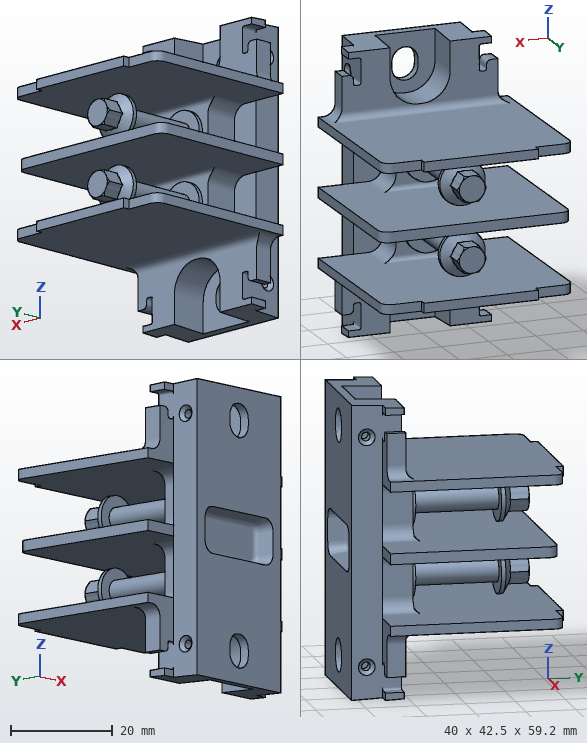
import cadquery as cq
import math

HEIGHT = 59.2
BASE_WIDTH = 25.0
SLAB_DEPTH = 6.2
END_BLOCK_BACK = 10.0
END_TAPER = 2.5

PLATE_WIDTH = 40.0
OUTER_PLATE_THICKNESS = 2.0
OUTER_PLATE_INNER_Z = 13.45
OUTER_PLATE_BACK = 41.1
PLATE_TAB_WIDTH = 24.15
PLATE_TAB_BACK = 42.5
MIDDLE_PLATE_THICKNESS = 2.2
MIDDLE_PLATE_BACK = 39.95
PLATE_CORNER_RADIUS = 2.0
OUTER_PLATE_OUTER_Z = OUTER_PLATE_INNER_Z + OUTER_PLATE_THICKNESS
MIDDLE_PLATE_Z = MIDDLE_PLATE_THICKNESS / 2

BRACKET_WIDTH = 32.9
BRACKET_TOP = 24.45
BRACKET_SIDE_FILLET = 2.5
BRACKET_BACK_FILLET = 1.6
NOTCH_OUTER_X = 14.05
NOTCH_FLOOR_Z = 22.25
NOTCH_LIP_RADIUS = 1.0
LUG_WIDTH = 30.2
LUG_UNDERSIDE_Z = 27.8
SMALL_FILLET = 0.5

MOUNT_WIDTH = 13.0
MOUNT_BACK = 13.55
MOUNT_SIDE_FILLET = 2.95
MOUNT_BACK_FILLET = 1.0

SCREW_Z = (OUTER_PLATE_INNER_Z + MIDDLE_PLATE_Z) / 2
FLANGE_RADIUS = 5.0
FLANGE_BACK = 14.45
SHAFT_RADIUS = 2.4
COLLAR_RADIUS = 4.8
COLLAR_FRONT = 31.7
COLLAR_BACK = 32.55
CONE_RADIUS = 2.8
CONE_BACK = 33.9
HEAD_BACK = 37.7
HEAD_CORE_RADIUS = 2.7
HEX_ACROSS_FLATS = 5.3
HEX_DIAMETER = HEX_ACROSS_FLATS / math.cos(math.pi / 6)
HEX_CHAMFER = HEX_DIAMETER / 2 - HEAD_CORE_RADIUS

SLOT_Z = 23.0
SLOT_WIDTH = 5.5
SLOT_LENGTH = 6.8
POCKET_WIDTH = 12.65
POCKET_FLOOR_RADIUS = 6.0
POCKET_FRONT = 2.0

SIDE_HOLE_Y = 3.0
SIDE_HOLE_DIAMETER = 1.7
SIDE_HOLE_COUNTERSINK = 3.3
SIDE_HOLE_DEPTH = 2.95

RECESS_WIDTH = 20.25
RECESS_HEIGHT = 9.4
RECESS_DEPTH = 3.95
RECESS_TAPER = 10.0
RECESS_CORNER_RADIUS = 2.35
RECESS_FLOOR_FILLET = 0.95


def box(x0, x1, y0, y1, z0, z1):
    return cq.Workplane("XY").box(x1 - x0, y1 - y0, z1 - z0, centered=False).translate((x0, y0, z0))


def extrude_along_y(outline, y0, y1):
    """Extrude an outline drawn on the XZ plane from y0 to y1."""
    return outline.extrude(y0 - y1).translate((0, y0, 0))


def with_mirror(shape, plane):
    """Join a shape to its mirror image in a plane through the origin."""
    return shape.union(shape.mirror(plane))


def flared_block(width, back, base_z, top_z, side_fillet, back_fillet):
    """Block behind the slab that rises from a plate face at base_z, flaring out on three sides."""
    half = width / 2
    side_outline = (
        cq.Workplane("XZ")
        .moveTo(0, top_z)
        .lineTo(half, top_z)
        .lineTo(half, base_z + side_fillet)
        .tangentArcPoint((side_fillet, -side_fillet))
        .lineTo(0, base_z)
        .close()
    )
    back_outline = (
        cq.Workplane("YZ")
        .moveTo(SLAB_DEPTH, top_z)
        .lineTo(back, top_z)
        .lineTo(back, base_z + back_fillet)
        .tangentArcPoint((back_fillet, -back_fillet))
        .lineTo(SLAB_DEPTH, base_z)
        .close()
    )
    side_flare = extrude_along_y(side_outline, SLAB_DEPTH, back + back_fillet)
    back_flare = back_outline.extrude(half + side_fillet)
    return with_mirror(side_flare.intersect(back_flare), "YZ")


def make_slab():
    slab = box(-BASE_WIDTH / 2, BASE_WIDTH / 2, 0, SLAB_DEPTH, -HEIGHT / 2, HEIGHT / 2)
    return slab.cut(end_taper_waste())


def end_taper_waste():
    """Wedges above and below the tapered end faces."""
    drop = END_BLOCK_BACK * math.tan(math.radians(END_TAPER))
    wedge = (
        cq.Workplane("YZ")
        .moveTo(0, HEIGHT / 2)
        .lineTo(END_BLOCK_BACK, HEIGHT / 2 - drop)
        .lineTo(END_BLOCK_BACK, HEIGHT / 2)
        .close()
        .extrude(LUG_WIDTH, both=True)
    )
    return with_mirror(wedge, "XY")


def make_plate(back, z0, z1):
    plate = box(-PLATE_WIDTH / 2, PLATE_WIDTH / 2, SLAB_DEPTH, back, z0, z1)
    return plate.edges("|Z and >Y").fillet(PLATE_CORNER_RADIUS)


def make_upper_plate():
    plate = make_plate(OUTER_PLATE_BACK, OUTER_PLATE_INNER_Z, OUTER_PLATE_OUTER_Z)
    tab_half = PLATE_TAB_WIDTH / 2
    tab = box(-tab_half, tab_half, SLAB_DEPTH, PLATE_TAB_BACK, OUTER_PLATE_INNER_Z, OUTER_PLATE_OUTER_Z)
    return plate.union(tab)


def make_bracket():
    """Upper end block with its hooked side brackets and the lugs above them."""
    bracket = flared_block(
        BRACKET_WIDTH,
        END_BLOCK_BACK,
        OUTER_PLATE_OUTER_Z,
        BRACKET_TOP,
        BRACKET_SIDE_FILLET,
        BRACKET_BACK_FILLET,
    )
    lug_half = LUG_WIDTH / 2
    head = box(-lug_half, lug_half, SLAB_DEPTH, END_BLOCK_BACK, BRACKET_TOP, HEIGHT / 2)
    notch = with_mirror(make_notch(), "YZ")
    return bracket.union(head).cut(notch).cut(end_taper_waste())


def make_notch():
    """Gap between bracket hook, end block and lug on the +X side, open outwards above the hook."""
    wall_x = BASE_WIDTH / 2
    gap = box(wall_x, NOTCH_OUTER_X, SLAB_DEPTH, END_BLOCK_BACK, NOTCH_FLOOR_Z, LUG_UNDERSIDE_Z)
    gap = gap.edges("|Y").edges("<X or <Z").fillet(SMALL_FILLET)
    opening = box(NOTCH_OUTER_X, LUG_WIDTH, SLAB_DEPTH, END_BLOCK_BACK, BRACKET_TOP, LUG_UNDERSIDE_Z)
    lip_z = BRACKET_TOP - NOTCH_LIP_RADIUS
    lip_x = NOTCH_OUTER_X + NOTCH_LIP_RADIUS
    lip_round = extrude_along_y(
        cq.Workplane("XZ").center(lip_x, lip_z).circle(NOTCH_LIP_RADIUS), SLAB_DEPTH, END_BLOCK_BACK
    )
    lip = box(NOTCH_OUTER_X, lip_x, SLAB_DEPTH, END_BLOCK_BACK, lip_z, BRACKET_TOP).cut(lip_round)
    return gap.union(opening).union(lip)


def make_mount():
    """Block between the middle and upper plates that carries a screw."""
    lower_half = flared_block(
        MOUNT_WIDTH, MOUNT_BACK, MIDDLE_PLATE_Z, SCREW_Z, MOUNT_SIDE_FILLET, MOUNT_BACK_FILLET
    )
    return lower_half.union(lower_half.mirror("XY", (0, 0, SCREW_Z)))


def make_screw():
    """Flange, shaft, conical collar and chamfered hexagon head on one axis along Y."""
    turned = (
        cq.Workplane("XY")
        .moveTo(0, SLAB_DEPTH)
        .lineTo(SHAFT_RADIUS, SLAB_DEPTH)
        .lineTo(SHAFT_RADIUS, MOUNT_BACK)
        .lineTo(FLANGE_RADIUS, MOUNT_BACK)
        .lineTo(FLANGE_RADIUS, FLANGE_BACK)
        .lineTo(SHAFT_RADIUS, FLANGE_BACK)
        .lineTo(SHAFT_RADIUS, COLLAR_FRONT)
        .lineTo(COLLAR_RADIUS, COLLAR_FRONT)
        .lineTo(COLLAR_RADIUS, COLLAR_BACK)
        .lineTo(CONE_RADIUS, CONE_BACK)
        .lineTo(HEAD_CORE_RADIUS, CONE_BACK)
        .lineTo(HEAD_CORE_RADIUS, HEAD_BACK)
        .lineTo(0, HEAD_BACK)
        .close()
        .revolve(360, (0, 0, 0), (0, 1, 0))
    )
    hexagon = extrude_along_y(
        cq.Workplane("XZ").polygon(6, HEX_DIAMETER), COLLAR_BACK, HEAD_BACK
    )
    chamfered_bar = extrude_along_y(
        cq.Workplane("XZ").circle(HEX_DIAMETER / 2), COLLAR_BACK, HEAD_BACK
    ).faces(">Y").chamfer(HEX_CHAMFER)
    return turned.union(hexagon.intersect(chamfered_bar)).translate((0, 0, SCREW_Z))


def make_slot_and_pocket():
    """Upright mounting slot and the round-bottomed pocket behind it, open at the end and back."""
    slot = extrude_along_y(
        cq.Workplane("XZ").center(0, SLOT_Z).slot2D(SLOT_LENGTH, SLOT_WIDTH, 90), 0, POCKET_FRONT
    )
    half = POCKET_WIDTH / 2
    floor_z = SLOT_Z - POCKET_FLOOR_RADIUS
    pocket = box(-half, half, POCKET_FRONT, MOUNT_BACK, floor_z, HEIGHT / 2)
    pocket = pocket.edges("|Y and <Z").fillet(POCKET_FLOOR_RADIUS)
    return slot.union(pocket)


def make_side_hole():
    """Countersunk blind hole in the -X side face."""
    radius = SIDE_HOLE_DIAMETER / 2
    rim = SIDE_HOLE_COUNTERSINK / 2
    return (
        cq.Workplane("XY")
        .lineTo(0, rim)
        .lineTo(rim - radius, radius)
        .lineTo(SIDE_HOLE_DEPTH, radius)
        .lineTo(SIDE_HOLE_DEPTH, 0)
        .close()
        .revolve(360, (0, 0, 0), (1, 0, 0))
        .translate((-BASE_WIDTH / 2, SIDE_HOLE_Y, SLOT_Z))
    )


def make_recess():
    """Tapered recess with rounded corners and a filleted floor."""
    return (
        cq.Workplane("XZ")
        .sketch()
        .rect(RECESS_WIDTH, RECESS_HEIGHT)
        .vertices()
        .fillet(RECESS_CORNER_RADIUS)
        .finalize()
        .extrude(-RECESS_DEPTH, taper=RECESS_TAPER)
        .faces(">Y")
        .edges()
        .fillet(RECESS_FLOOR_FILLET)
    )


upper_half = make_upper_plate().union(make_bracket()).union(make_mount()).union(make_screw())
side_holes = with_mirror(make_side_hole(), "YZ")
upper_cuts = make_slot_and_pocket().union(side_holes)

result = (
    make_slab()
    .union(make_plate(MIDDLE_PLATE_BACK, -MIDDLE_PLATE_Z, MIDDLE_PLATE_Z))
    .union(with_mirror(upper_half, "XY"))
    .cut(with_mirror(upper_cuts, "XY"))
    .cut(make_recess())
)